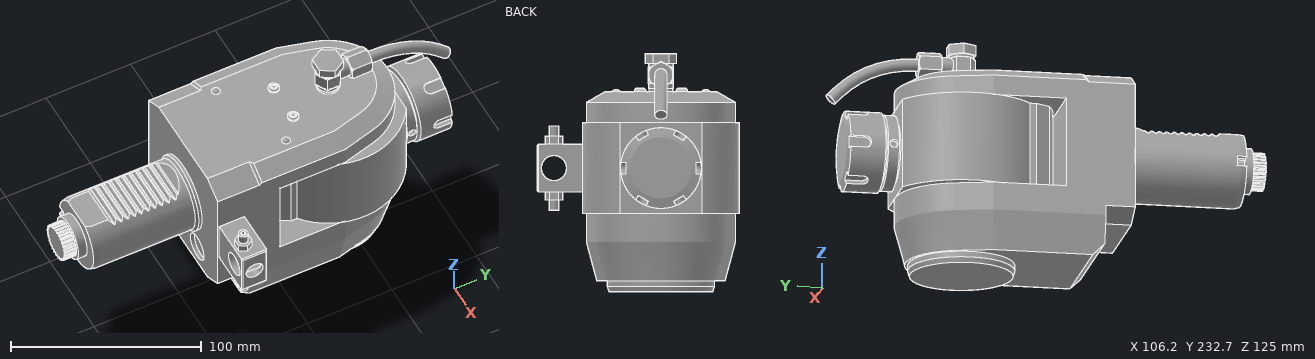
import cadquery as cq
import math


BODY_HALF_WIDTH = 39.0
BODY_TOP = 40.0
BODY_BOTTOM = -59.0
HEAD_Y = 85.6
HEAD_RADIUS = 35.1
HEAD_END_Y = HEAD_Y + HEAD_RADIUS
FLANK_ANGLE = 15.0
TOP_CHAMFER = 5.5
TOP_CHAMFER_ANGLE = 60.0
BOTTOM_TAPER_START = -38.9
BOTTOM_TAPER_ANGLE = 15.0
FRONT_CHAMFER_WIDTH = 11.6
FRONT_CHAMFER_ANGLE = 30.0
FRONT_CHAMFER_LENGTH = 24.7
FRONT_CHAMFER_RAMP = 1.6
FRONT_BOTTOM = -40.3
FRONT_STEP_Y = 15.5
BOTTOM_CHAMFER_Y = 6.0
BOTTOM_CHAMFER_Z = 5.8
OVERRUN = 11.6
OUTLINE_OVERRUN = 23.3

WINDOW_HEIGHT = 47.7
WINDOW_HALF_HEIGHT = WINDOW_HEIGHT / 2
WINDOW_FRONT_Y = 36.8
TURRET_RADIUS = 41.2
TURRET_NECK_HALF_WIDTH = 26.0
TURRET_NECK_Y = 50.3
TURRET_BACK_RADIUS = 48.2
TURRET_BACK_HALF_WIDTH = 21.5

COVER_RADIUS = 28.2
COVER_END_RADIUS = 27.2
COVER_EDGE_Z = -62.1
COVER_BOTTOM = -65.0

SHANK_RADIUS = 20.0
SHANK_LENGTH = 63.0
SHANK_CHAMFER_LENGTH = 3.0
SHANK_CHAMFER = 0.7
COLLAR_RADIUS = 21.5
COLLAR_LENGTH = 1.9
COLLAR_CONE_END = 3.3
RACK_LENGTH = 36.0
RACK_VALLEYS = 10
RACK_PITCH = RACK_LENGTH / (RACK_VALLEYS - 1)
RACK_FIRST_VALLEY = 11.6
RACK_VALLEY_Z = 14.5
RACK_TOOTH_HEIGHT = 1.6
RACK_VALLEY_FLAT = 0.2
RACK_ENTRY_LAND = 1.0
SHANK_FLAT_Z = 16.8
KEYWAY_HALF_WIDTH = 2.5
KEYWAY_DEPTH = 5.1
KEYWAY_STEP_X = 15.1
KEYWAY_INNER_HALF_WIDTH = 1.6
COUPLING_RADIUS = 12.0
COUPLING_END = 68.2
SPLINE_ROOT_RADIUS = 9.0
SPLINE_TIP_RADIUS = 10.0
SPLINE_TEETH = 28
SPLINE_ROOT_SHARE = 0.4
SPLINE_TIP_SHARE = 0.2
SPLINE_END = 75.2
PORT_RADIUS = 7.7
PORT_X = 15.8
PORT_Z = -28.0
PORT_DEPTH = 2.3

SPINDLE_NECK_RADIUS = 16.3
RING_RADIUS = 20.0
RING_START_Y = 122.2
RING_END_Y = 128.0
RING_HOLE_RADIUS = 2.0
RING_HOLE_DEPTH = 2.8
NUT_RADIUS = 21.2
NUT_START_Y = 129.5
NUT_END_Y = 149.4
NUT_FACE_RADIUS = 16.0
NUT_FACE_CONE = 1.2
NUT_SLOTS = 6
NUT_SLOT_WIDTH = 6.0
NUT_SLOT_LENGTH = 12.0
NUT_SLOT_DEPTH = 2.8

FITTING_RADIUS = 6.5
FITTING_FOOT_RADIUS = 6.3
FITTING_FOOT_TOP = 41.6
FITTING_HEX_BOTTOM = 44.5
FITTING_HEX_TOP = 53.0
FITTING_HEX_DIAMETER = 15.4
CAP_BOTTOM = 54.7
CAP_TOP = 60.0
CAP_DIAMETER = 16.5
OUTLET_Z = 48.9
OUTLET_RADIUS = 5.0
OUTLET_NUT_START_Y = 96.8
OUTLET_NUT_END_Y = 109.0
OUTLET_NUT_DIAMETER = 14.2
OUTLET_NUT_CHAMFER = 0.7
TUBE_RADIUS = 3.3
TUBE_BEND_START_Y = 110.8
TUBE_BEND_RADIUS = 56.8
TUBE_BEND_ANGLE = 45.0
TUBE_REACH_Y = 157.5

SCREW_X = 11.0
SCREW_Y = 59.3
SCREW_RADIUS = 3.0
SCREW_HEIGHT = 1.9
SCREW_SOCKET_DIAMETER = 3.0
PIN_RADIUS = 2.3
PIN_HEIGHT = 1.2
PIN_PLACES = [(23.5, 48.6), (-23.5, 31.6)]

HEXAGON_SIDES = 6
HEXAGON_CORNER_TURN = 180 / HEXAGON_SIDES

BRACKET_END_X = 65.0
BRACKET_HALF_HEIGHT = 12.5
BRACKET_FRONT_Y = 1.0
BRACKET_BACK_Y = 15.8
BRACKET_CHAMFER = 0.7
BRACKET_HOLE_X = 56.0
BRACKET_HOLE_RADIUS = 6.5
BRACKET_CROSS_HOLE_RADIUS = 5.0
STUD_Y = 6.3
STUD_RADIUS = 2.5
STUD_SOCKET_DIAMETER = 2.8
STUD_SOCKET_DEPTH = 2.3
STUD_END = 22.0
STUD_NUT_HEIGHT = 4.2
STUD_NUT_DIAMETER = 9.3


def box(x_range, y_range, z_range):
    """Box between the given limits on each axis."""
    sizes = [high - low for low, high in (x_range, y_range, z_range)]
    corner = (x_range[0], y_range[0], z_range[0])
    return cq.Workplane("XY").box(*sizes, centered=False).translate(corner)


def turned(profile):
    """Solid turned about the Y axis from (radius, y) points."""
    return cq.Workplane("XY").polyline(profile).close().revolve(360, (0, 0, 0), (0, 1, 0))


def upright(x, y, z_low, z_high):
    """Workplane at z_low and the height up to z_high."""
    return cq.Workplane("XY", origin=(x, y, z_low)), z_high - z_low


def upright_cylinder(x, y, z_low, z_high, radius):
    plane, height = upright(x, y, z_low, z_high)
    return plane.circle(radius).extrude(height)


def upright_hexagon(x, y, z_low, z_high, diameter, turn=0):
    """Hexagonal prism with corners on +X and -X before turning about its axis."""
    plane, height = upright(x, y, z_low, z_high)
    return plane.transformed(rotate=(0, 0, turn)).polygon(HEXAGON_SIDES, diameter).extrude(height)


def hex_socket(screw, diameter, depth):
    """Screw with a hexagon socket sunk into its top face."""
    return screw.faces(">Z").workplane().polygon(HEXAGON_SIDES, diameter).cutBlind(-depth)


def body_outline(z):
    """Plan outline of the body, running past the mounting face."""
    angle = math.radians(FLANK_ANGLE)
    arc_x = HEAD_RADIUS * math.cos(angle)
    arc_y = HEAD_Y + HEAD_RADIUS * math.sin(angle)
    flank_y = arc_y - (BODY_HALF_WIDTH - arc_x) / math.tan(angle)
    return (
        cq.Workplane("XY", origin=(0, 0, z))
        .moveTo(-BODY_HALF_WIDTH, -OUTLINE_OVERRUN)
        .lineTo(BODY_HALF_WIDTH, -OUTLINE_OVERRUN)
        .lineTo(BODY_HALF_WIDTH, flank_y)
        .lineTo(arc_x, arc_y)
        .threePointArc((0, HEAD_END_Y), (-arc_x, arc_y))
        .lineTo(-BODY_HALF_WIDTH, flank_y)
        .close()
    )


def corner_wedge(side, z, direction, width):
    """Triangle across one long corner of the body, with the given width."""
    x = side * BODY_HALF_WIDTH
    height = width * math.tan(math.radians(FRONT_CHAMFER_ANGLE))
    return [(x, z), (x - side * width, z), (x, z - direction * height)]


def corner_chamfers(z, direction, length):
    """Wedges that chamfer both long corners of the front block at height z."""
    wedges = cq.Workplane("XZ")
    for side in (-1, 1):
        outline = corner_wedge(side, z, direction, FRONT_CHAMFER_WIDTH)
        wedges = wedges.add(cq.Workplane("XZ").polyline(outline).close().extrude(-length))
    return wedges.combine()


def corner_ramps():
    """Run-outs from the upper front chamfers to the narrower chamfer behind them."""
    narrow_width = TOP_CHAMFER * math.tan(math.radians(TOP_CHAMFER_ANGLE))
    ramps = cq.Workplane("XZ")
    for side in (-1, 1):
        wide = corner_wedge(side, BODY_TOP, 1, FRONT_CHAMFER_WIDTH)
        narrow = corner_wedge(side, BODY_TOP, 1, narrow_width)
        ramp = (
            cq.Workplane("XZ", origin=(0, FRONT_CHAMFER_LENGTH, 0))
            .polyline(wide)
            .close()
            .workplane(offset=-FRONT_CHAMFER_RAMP)
            .polyline(narrow)
            .close()
            .loft(ruled=True)
        )
        ramps = ramps.add(ramp)
    return ramps.combine()


def make_body():
    chamfer_z = BODY_TOP - TOP_CHAMFER
    body = body_outline(BOTTOM_TAPER_START).extrude(chamfer_z - BOTTOM_TAPER_START)
    body = body.union(body_outline(chamfer_z).extrude(TOP_CHAMFER, taper=TOP_CHAMFER_ANGLE))
    skirt_height = BODY_BOTTOM - BOTTOM_TAPER_START
    body = body.union(body_outline(BOTTOM_TAPER_START).extrude(skirt_height, taper=BOTTOM_TAPER_ANGLE))

    trim = (
        cq.Workplane("YZ")
        .moveTo(0, BODY_TOP)
        .lineTo(HEAD_END_Y, BODY_TOP)
        .lineTo(HEAD_END_Y, BODY_BOTTOM)
        .lineTo(FRONT_STEP_Y + BOTTOM_CHAMFER_Y, BODY_BOTTOM)
        .lineTo(FRONT_STEP_Y, BODY_BOTTOM + BOTTOM_CHAMFER_Z)
        .lineTo(FRONT_STEP_Y, FRONT_BOTTOM)
        .lineTo(0, FRONT_BOTTOM)
        .close()
        .extrude(BODY_HALF_WIDTH, both=True)
    )
    body = body.intersect(trim)
    body = body.cut(corner_chamfers(BODY_TOP, 1, FRONT_CHAMFER_LENGTH))
    body = body.cut(corner_ramps())
    body = body.cut(corner_chamfers(FRONT_BOTTOM, -1, FRONT_STEP_Y))

    window = box(
        (-BODY_HALF_WIDTH - OVERRUN, BODY_HALF_WIDTH + OVERRUN),
        (WINDOW_FRONT_Y, HEAD_END_Y + OVERRUN),
        (-WINDOW_HALF_HEIGHT, WINDOW_HALF_HEIGHT),
    )
    return body.cut(window)


def make_turret():
    """Drum that fills the window, with a flat front and a necked back."""
    front_x = math.sqrt(TURRET_RADIUS**2 - HEAD_RADIUS**2)
    neck_y = HEAD_Y - math.sqrt(TURRET_RADIUS**2 - TURRET_NECK_HALF_WIDTH**2)
    back_y = HEAD_Y - math.sqrt(TURRET_BACK_RADIUS**2 - TURRET_BACK_HALF_WIDTH**2)
    return (
        cq.Workplane("XY", origin=(0, 0, -WINDOW_HALF_HEIGHT))
        .moveTo(-front_x, HEAD_END_Y)
        .lineTo(front_x, HEAD_END_Y)
        .threePointArc((TURRET_RADIUS, HEAD_Y), (TURRET_NECK_HALF_WIDTH, neck_y))
        .lineTo(TURRET_NECK_HALF_WIDTH, TURRET_NECK_Y)
        .lineTo(TURRET_BACK_HALF_WIDTH, back_y)
        .threePointArc((0, HEAD_Y - TURRET_BACK_RADIUS), (-TURRET_BACK_HALF_WIDTH, back_y))
        .lineTo(-TURRET_NECK_HALF_WIDTH, TURRET_NECK_Y)
        .lineTo(-TURRET_NECK_HALF_WIDTH, neck_y)
        .threePointArc((-TURRET_RADIUS, HEAD_Y), (-front_x, HEAD_END_Y))
        .close()
        .extrude(WINDOW_HEIGHT)
    )


def make_cover():
    profile = [
        (0, BODY_BOTTOM),
        (COVER_RADIUS, BODY_BOTTOM),
        (COVER_RADIUS, COVER_EDGE_Z),
        (COVER_END_RADIUS, COVER_BOTTOM),
        (0, COVER_BOTTOM),
    ]
    cover = cq.Workplane("XZ").polyline(profile).close().revolve(360, (0, 0, 0), (0, 1, 0))
    return cover.translate((0, HEAD_Y, 0))


def rack_cut():
    """Space above the clamping rack and the end flat on top of the shank."""
    half_flat = RACK_VALLEY_FLAT / 2
    half_gap = half_flat + RACK_TOOTH_HEIGHT
    crest_z = RACK_VALLEY_Z + RACK_TOOTH_HEIGHT
    clear_z = COLLAR_RADIUS + OVERRUN
    land_y = -RACK_FIRST_VALLEY + half_gap + RACK_ENTRY_LAND
    points = [(land_y + clear_z - crest_z, clear_z), (land_y, crest_z)]
    for index in range(RACK_VALLEYS):
        valley_y = -RACK_FIRST_VALLEY - index * RACK_PITCH
        points.append((valley_y + half_gap, crest_z))
        points.append((valley_y + half_flat, RACK_VALLEY_Z))
        points.append((valley_y - half_flat, RACK_VALLEY_Z))
        if index < RACK_VALLEYS - 1:
            points.append((valley_y - half_gap, crest_z))
    last_y = points[-1][0]
    points.append((last_y - (SHANK_FLAT_Z - RACK_VALLEY_Z), SHANK_FLAT_Z))
    points.append((-SHANK_LENGTH - OVERRUN, SHANK_FLAT_Z))
    points.append((-SHANK_LENGTH - OVERRUN, clear_z))
    return cq.Workplane("YZ").polyline(points).close().extrude(SHANK_RADIUS, both=True)


def make_shank():
    shank = turned([
        (0, 0),
        (SHANK_RADIUS, 0),
        (SHANK_RADIUS, SHANK_CHAMFER_LENGTH - SHANK_LENGTH),
        (SHANK_RADIUS - SHANK_CHAMFER, -SHANK_LENGTH),
        (0, -SHANK_LENGTH),
    ])
    shank = shank.cut(rack_cut())
    for inner_x, half_width in (
        (KEYWAY_STEP_X, KEYWAY_HALF_WIDTH),
        (COUPLING_RADIUS, KEYWAY_INNER_HALF_WIDTH),
    ):
        keyway = box(
            (-SHANK_RADIUS - OVERRUN, -inner_x),
            (-SHANK_LENGTH - OVERRUN, KEYWAY_DEPTH - SHANK_LENGTH),
            (-half_width, half_width),
        )
        shank = shank.cut(keyway)
    collar = turned([
        (0, 0),
        (COLLAR_RADIUS, 0),
        (COLLAR_RADIUS, -COLLAR_LENGTH),
        (SHANK_RADIUS, -COLLAR_CONE_END),
        (0, -COLLAR_CONE_END),
    ])
    coupling = cq.Workplane("XZ").circle(COUPLING_RADIUS).extrude(COUPLING_END)
    return shank.union(collar).union(coupling).union(make_spline())


def make_spline():
    """Toothed stub at the end of the drive coupling."""
    step = 2 * math.pi / SPLINE_TEETH
    points = []
    for tooth in range(SPLINE_TEETH):
        for offset, radius in (
            (-SPLINE_ROOT_SHARE, SPLINE_ROOT_RADIUS),
            (-SPLINE_TIP_SHARE, SPLINE_TIP_RADIUS),
            (SPLINE_TIP_SHARE, SPLINE_TIP_RADIUS),
            (SPLINE_ROOT_SHARE, SPLINE_ROOT_RADIUS),
        ):
            angle = (tooth + offset) * step
            points.append((radius * math.cos(angle), radius * math.sin(angle)))
    return cq.Workplane("XZ").polyline(points).close().extrude(SPLINE_END)


def make_port():
    """Shallow round recess in the mounting face."""
    return cq.Workplane("XZ").center(PORT_X, PORT_Z).circle(PORT_RADIUS).extrude(-PORT_DEPTH)


def make_collet_nut():
    nut = turned([
        (0, HEAD_END_Y),
        (SPINDLE_NECK_RADIUS, HEAD_END_Y),
        (SPINDLE_NECK_RADIUS, RING_START_Y),
        (RING_RADIUS, RING_START_Y),
        (RING_RADIUS, RING_END_Y),
        (SPINDLE_NECK_RADIUS, RING_END_Y),
        (SPINDLE_NECK_RADIUS, NUT_START_Y),
        (NUT_RADIUS, NUT_START_Y),
        (NUT_RADIUS, NUT_END_Y - NUT_FACE_CONE),
        (NUT_FACE_RADIUS, NUT_END_Y),
        (0, NUT_END_Y),
    ])
    slot_radius = NUT_SLOT_WIDTH / 2
    slot_floor = NUT_RADIUS - NUT_SLOT_DEPTH
    slot_end_y = NUT_END_Y - NUT_SLOT_LENGTH + slot_radius
    slot = (
        cq.Workplane("YZ", origin=(slot_floor, 0, 0))
        .moveTo(NUT_END_Y, -slot_radius)
        .lineTo(slot_end_y, -slot_radius)
        .threePointArc((slot_end_y - slot_radius, 0), (slot_end_y, slot_radius))
        .lineTo(NUT_END_Y, slot_radius)
        .close()
        .extrude(OVERRUN)
    )
    for index in range(NUT_SLOTS):
        nut = nut.cut(slot.rotate((0, 0, 0), (0, 1, 0), index * 360 / NUT_SLOTS))

    hole_y = (RING_START_Y + RING_END_Y) / 2
    for side in (-1, 1):
        start_x = side * (RING_RADIUS - RING_HOLE_DEPTH)
        hole = cq.Workplane("YZ", origin=(start_x, hole_y, 0)).circle(RING_HOLE_RADIUS)
        nut = nut.cut(hole.extrude(side * OVERRUN))
    return nut


def make_fitting():
    """Coolant fitting with its outlet nut and bent tube."""
    fitting = upright_cylinder(0, HEAD_Y, BODY_TOP, FITTING_FOOT_TOP, FITTING_FOOT_RADIUS)
    fitting = fitting.union(upright_cylinder(0, HEAD_Y, FITTING_FOOT_TOP, CAP_BOTTOM, FITTING_RADIUS))
    fitting = fitting.union(
        upright_hexagon(
            0, HEAD_Y, FITTING_HEX_BOTTOM, FITTING_HEX_TOP, FITTING_HEX_DIAMETER, HEXAGON_CORNER_TURN
        )
    )
    fitting = fitting.union(upright_hexagon(0, HEAD_Y, CAP_BOTTOM, CAP_TOP, CAP_DIAMETER))

    outlet_plane = cq.Workplane("XZ", origin=(0, HEAD_Y, OUTLET_Z))
    fitting = fitting.union(outlet_plane.circle(OUTLET_RADIUS).extrude(HEAD_Y - OUTLET_NUT_START_Y))

    nut_length = OUTLET_NUT_END_Y - OUTLET_NUT_START_Y
    nut_plane = cq.Workplane("XZ", origin=(0, OUTLET_NUT_START_Y, OUTLET_Z))
    nut = nut_plane.transformed(rotate=(0, 0, HEXAGON_CORNER_TURN))
    nut = nut.polygon(HEXAGON_SIDES, OUTLET_NUT_DIAMETER).extrude(-nut_length)
    rounding = nut_plane.circle(OUTLET_NUT_DIAMETER / 2).extrude(-nut_length)
    rounding = rounding.edges().chamfer(OUTLET_NUT_CHAMFER)
    fitting = fitting.union(nut.intersect(rounding))

    angle = math.radians(TUBE_BEND_ANGLE)

    def bend_point(turned_angle):
        return (
            TUBE_BEND_START_Y + TUBE_BEND_RADIUS * math.sin(turned_angle),
            OUTLET_Z - TUBE_BEND_RADIUS * (1 - math.cos(turned_angle)),
        )

    bend_end_y, bend_end_z = bend_point(angle)
    tip_y = TUBE_REACH_Y - TUBE_RADIUS * math.sin(angle)
    tip_z = bend_end_z - (tip_y - bend_end_y) * math.tan(angle)
    path = (
        cq.Workplane("YZ")
        .moveTo(OUTLET_NUT_START_Y, OUTLET_Z)
        .lineTo(TUBE_BEND_START_Y, OUTLET_Z)
        .threePointArc(bend_point(angle / 2), (bend_end_y, bend_end_z))
        .lineTo(tip_y, tip_z)
    )
    tube = nut_plane.circle(TUBE_RADIUS).sweep(path)
    return fitting.union(tube)


def make_top_screws():
    """Two socket screws and two domed pins standing on the top face."""
    screws = cq.Workplane("XY")
    for side in (-1, 1):
        head = upright_cylinder(side * SCREW_X, SCREW_Y, BODY_TOP, BODY_TOP + SCREW_HEIGHT, SCREW_RADIUS)
        head = head.faces(">Z").chamfer(SCREW_HEIGHT / 2)
        head = hex_socket(head, SCREW_SOCKET_DIAMETER, SCREW_HEIGHT / 2)
        screws = screws.add(head)
    for x, y in PIN_PLACES:
        dome_radius = (PIN_RADIUS**2 + PIN_HEIGHT**2) / (2 * PIN_HEIGHT)
        dome_centre_z = BODY_TOP + PIN_HEIGHT - dome_radius
        pin = upright_cylinder(x, y, BODY_TOP, BODY_TOP + PIN_HEIGHT, PIN_RADIUS)
        dome = cq.Workplane("XY", origin=(x, y, dome_centre_z)).sphere(dome_radius)
        screws = screws.add(pin.intersect(dome))
    return screws.combine()


def make_bracket():
    """Drilled block on the +X side with a stud and nut above and below."""
    bracket = box(
        (BODY_HALF_WIDTH, BRACKET_END_X),
        (BRACKET_FRONT_Y, BRACKET_BACK_Y),
        (-BRACKET_HALF_HEIGHT, BRACKET_HALF_HEIGHT),
    )
    bracket = bracket.faces(">X").chamfer(BRACKET_CHAMFER)
    hole = (
        cq.Workplane("XZ")
        .center(BRACKET_HOLE_X, 0)
        .circle(BRACKET_HOLE_RADIUS)
        .extrude(-BRACKET_BACK_Y - OVERRUN)
    )
    cross_hole = (
        cq.Workplane("YZ", origin=(BRACKET_HOLE_X, (BRACKET_FRONT_Y + BRACKET_BACK_Y) / 2, 0))
        .circle(BRACKET_CROSS_HOLE_RADIUS)
        .extrude(BRACKET_END_X - BRACKET_HOLE_X)
    )
    bracket = bracket.cut(hole).cut(cross_hole)
    nut_top = BRACKET_HALF_HEIGHT + STUD_NUT_HEIGHT
    nut = upright_hexagon(BRACKET_HOLE_X, STUD_Y, BRACKET_HALF_HEIGHT, nut_top, STUD_NUT_DIAMETER)
    stud = upright_cylinder(BRACKET_HOLE_X, STUD_Y, BRACKET_HALF_HEIGHT, STUD_END, STUD_RADIUS)
    stud = hex_socket(stud, STUD_SOCKET_DIAMETER, STUD_SOCKET_DEPTH)
    fastener = stud.union(nut)
    return bracket.union(fastener).union(fastener.mirror("XY"))


result = (
    make_body()
    .union(make_turret())
    .union(make_cover())
    .cut(make_port())
    .union(make_shank())
    .union(make_collet_nut())
    .union(make_fitting())
    .union(make_top_screws())
    .union(make_bracket())
)